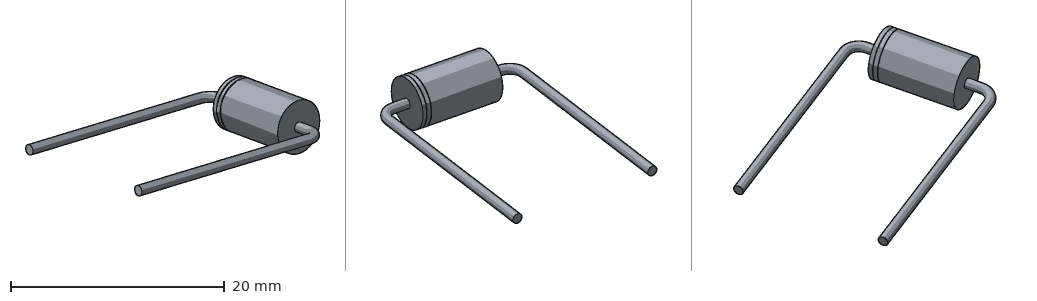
import cadquery as cq

housing_diameter = 5.3
housing_length = 9.0
housing_radius = housing_diameter / 2
housing_left = -housing_length / 2

band_offset = 0.45
band_width = 0.5
band_depth = 0.1
band_left = housing_left + band_offset

wire_diameter = 1.02
wire_radius = wire_diameter / 2
overall_width = 16.25
overall_depth = 25.6
lead_x = (overall_width - wire_diameter) / 2
bend_radius = 1.55
lead_tip_y = housing_radius - overall_depth


def cylinder_along_x(x_start, length, radius):
    return cq.Workplane("YZ", origin=(x_start, 0, 0)).circle(radius).extrude(length)


def make_band():
    outer = cylinder_along_x(band_left, band_width, housing_radius)
    bore = cylinder_along_x(band_left, band_width, housing_radius - band_depth)
    return outer.cut(bore)


def make_housing(band):
    return cylinder_along_x(housing_left, housing_length, housing_radius).cut(band)


def make_lead(side):
    """Bent wire starting at an end face; side is -1 for the left lead and 1 for the right."""
    start_x = side * housing_length / 2
    bend_start_x = side * (lead_x - bend_radius)
    bend_angle = -side * 90

    stub = cylinder_along_x(start_x, bend_start_x - start_x, wire_radius)
    bend = (
        cq.Workplane("YZ", origin=(bend_start_x, 0, 0))
        .circle(wire_radius)
        .revolve(abs(bend_angle), (-bend_radius, 0, 0), (-bend_radius, bend_angle, 0))
    )
    leg = (
        cq.Workplane("XZ", origin=(side * lead_x, -bend_radius, 0))
        .circle(wire_radius)
        .extrude(-bend_radius - lead_tip_y)
    )
    return stub.union(bend).union(leg)


band = make_band()
housing = make_housing(band)
leads = [make_lead(side) for side in (-1, 1)]

result = cq.Compound.makeCompound([housing.val(), band.val(), *[lead.val() for lead in leads]])